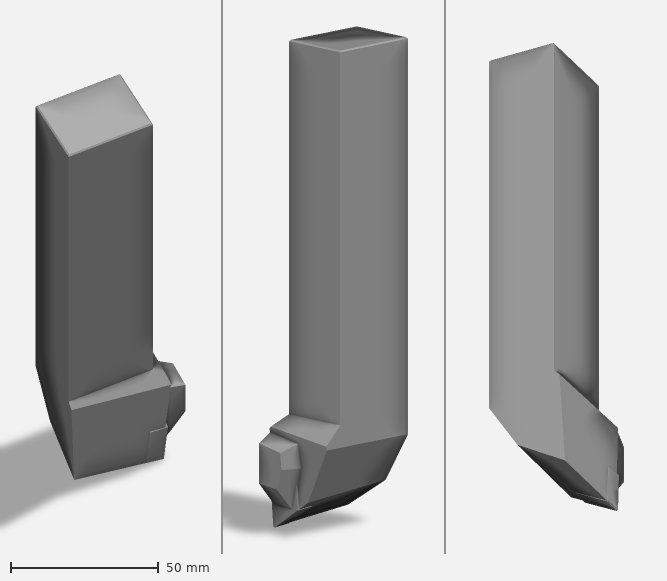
import cadquery as cq
import math

total_length = 170.0
shank_width = 25.0
shank_depth = 32.0
end_chamfer = 0.5

neck_z = 40.3
back_z = 32.5
heel_x = 10.9
heel_z = 15.0
end_slope = -0.625
side_foot_x = 29.4
side_slope = -0.06
side_clearance = 0.075
end_clearance = 0.054
blank_depth = 47.6

rake_y = 34.2
rake_z_slope = 0.126
rake_x_slope = 0.08

hump_root_y = 30.6
hump_left_x = 15.3
hump_base_y = 36.9
hump_top_left = (17.7, 43.2)
hump_top_right = (29.0, 42.2)
hump_right = (30.0, 36.0)
hump_back_root = (hump_root_y, 36.2)
hump_crest = (43.2, 30.8)
hump_front_top = (42.2, 17.3)
hump_front_root = (34.0, 8.7)
hump_skew = 5.0
hump_bend_z = 23.6
hump_toe_x = 25.5

insert_thickness = 6.5
insert_rise = 0.9
insert_overhang = 0.24
insert_heel = (18.0, 8.3)
insert_tip = (31.8, 0.0)
insert_shoulder = (31.0, 15.3)
stock_margin = 3.4
nose_cut = 0.7


def head_outline(y, offset):
    """Holder outline (x, z) at height y, with both cutting flanks moved outward by offset."""
    back_slope = (heel_z - back_z) / heel_x
    end_drop = end_clearance * y + offset * math.hypot(1, end_slope)
    end_z = heel_z - end_slope * heel_x - end_drop
    side_x = side_foot_x + side_clearance * y + offset * math.hypot(1, side_slope)

    heel_x_here = (end_z - back_z) / (back_slope - end_slope)
    heel = (heel_x_here, back_z + back_slope * heel_x_here)
    tip_z = (end_z + end_slope * side_x) / (1 - end_slope * side_slope)
    tip = (side_x + side_slope * tip_z, tip_z)
    neck_sum = shank_width + neck_z
    shoulder_z = (neck_sum - side_x) / (1 + side_slope)
    shoulder = (neck_sum - shoulder_z, shoulder_z)
    return [
        (0, total_length),
        (0, back_z),
        heel,
        tip,
        shoulder,
        (shank_width, neck_z),
        (shank_width, total_length),
    ]


def make_blank(offset=0):
    """Holder outline with relieved flanks, carried up past the rake face."""
    bottom = cq.Wire.makePolygon([cq.Vector(x, 0, z) for x, z in head_outline(0, offset)], close=True)
    top = cq.Wire.makePolygon(
        [cq.Vector(x, blank_depth, z) for x, z in head_outline(blank_depth, offset)], close=True)
    return cq.Workplane(obj=cq.Solid.makeLoft([bottom, top], True))


def rake_slab(top_offset, thickness):
    """Slab parallel to the rake plane, its upper face top_offset above that plane."""
    normal = cq.Vector(rake_x_slope, 1, -rake_z_slope).normalized()
    origin = cq.Vector(0, rake_y, 0) + normal * top_offset
    plane = cq.Plane(origin=origin.toTuple(), xDir=(1, -rake_x_slope, 0), normal=normal.toTuple())
    return cq.Workplane(plane).rect(4 * total_length, 4 * total_length).extrude(-thickness)


def side_prism(points):
    """Prism along X from a (y, z) profile."""
    return cq.Workplane("YZ").polyline(points).close().extrude(2 * shank_width)


def front_prism(points):
    """Prism along +Y from an (x, z) profile."""
    return cq.Workplane("XZ").polyline(points).close().extrude(-blank_depth)


def make_shank_and_head():
    """Square shank that swells at 45 degrees into the head under the rake plane."""
    swell = blank_depth - shank_depth
    profile = side_prism([
        (0, -stock_margin),
        (blank_depth, -stock_margin),
        (blank_depth, neck_z - swell),
        (shank_depth, neck_z),
        (shank_depth, total_length),
        (0, total_length),
    ])
    shank = make_blank().intersect(profile).faces(">Z").edges().chamfer(end_chamfer)
    return shank.intersect(rake_slab(0, 2 * total_length))


def hump_footprint():
    """Prism whose left side and toe bevel both lean to the right as they rise."""
    lean = (hump_top_left[0] - hump_left_x) / (hump_top_left[1] - hump_base_y)
    outlines = []
    for y in (hump_root_y, blank_depth):
        shift = lean * (y - hump_base_y)
        outline = [
            (hump_left_x + shift, neck_z),
            (hump_left_x + shift, hump_bend_z),
            (hump_toe_x + shift, 0),
            (2 * shank_width, 0),
            (2 * shank_width, neck_z),
        ]
        outlines.append(cq.Wire.makePolygon([cq.Vector(x, y, z) for x, z in outline], close=True))
    return cq.Workplane(obj=cq.Solid.makeLoft(outlines, True))


def make_hump():
    """Chip breaker: three crossing prisms trimmed to the flanks of the head."""
    across = cq.Workplane("XY").polyline([
        (0, hump_root_y),
        (0, hump_top_left[1]),
        hump_top_left,
        hump_top_right,
        hump_right,
        (hump_right[0], hump_root_y),
    ]).close().extrude(neck_z)
    along = side_prism([
        hump_back_root,
        hump_crest,
        hump_front_top,
        hump_front_root,
        (hump_root_y, hump_front_root[1]),
    ])
    pivot = (hump_right[0], 0, hump_back_root[1])
    pivot_end = (hump_right[0], 1, hump_back_root[1])
    along = along.rotate(pivot, pivot_end, -hump_skew)
    footprint = hump_footprint()
    return across.intersect(along).intersect(footprint).intersect(make_blank())


def make_insert():
    """Parallelogram cutting insert with a small flat on its nose."""
    back_x = insert_heel[0] + insert_shoulder[0] - insert_tip[0]
    back_corner_z = insert_heel[1] + insert_shoulder[1] - insert_tip[1]
    prism = front_prism([
        (back_x, back_corner_z),
        insert_heel,
        (insert_heel[0], -stock_margin),
        (insert_tip[0] + stock_margin, -stock_margin),
        (insert_tip[0] + stock_margin, insert_shoulder[1]),
        insert_shoulder,
    ])
    insert = make_blank(insert_overhang).intersect(prism)
    insert = insert.intersect(rake_slab(insert_rise, insert_thickness))
    nose_edge = insert.edges(cq.selectors.CenterNthSelector(cq.Vector(1, 0, -1), -1))
    return nose_edge.chamfer(nose_cut)


insert = make_insert()
holder = make_shank_and_head().union(make_hump()).cut(insert)

result = cq.Compound.makeCompound([holder.solids().val(), insert.solids().val()])